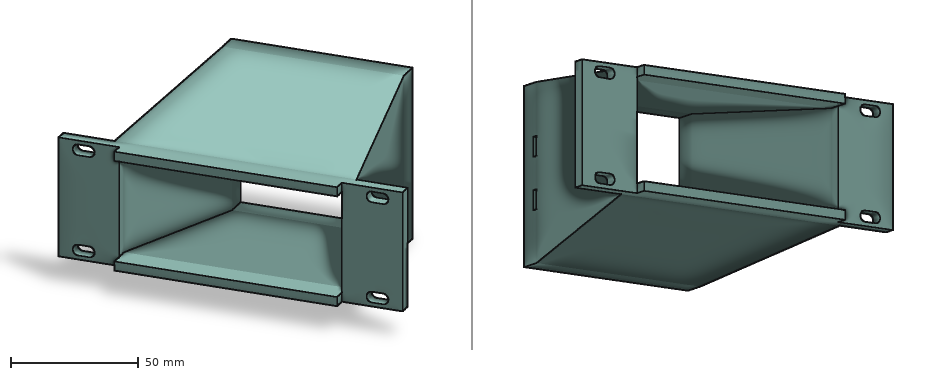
import cadquery as cq

flange_width = 146.2
flange_height = 50.7
flange_thickness = 5.1

lip_width = 94.6
lip_depth = 5.0
lip_thickness = 4.0

duct_front_width = 102.8
rear_width = 77.0
rear_height = 73.0
wall = 4.1
taper_length = 80.0
collar_length = 8.9

slot_length = 9.2
slot_height = 4.5
slot_spacing_x = 124.9
slot_spacing_z = 42.7

side_slot_width = 2.0
side_slot_height = 8.0
side_slot_spacing = 21.5
side_slot_setback = 6.7

flange_back = flange_thickness
collar_front = flange_back + taper_length
collar_back = collar_front + collar_length

mouth_height = flange_height - 2 * lip_thickness
bore_width = rear_width - 2 * wall
bore_height = rear_height - 2 * lip_thickness


def block(width, height, y_start, y_end):
    """Box centred on the Y axis between two stations."""
    length = y_end - y_start
    return cq.Workplane("XY").box(width, length, height).translate((0, y_start + length / 2, 0))


def taper(front_width, front_height, back_width, back_height):
    """Straight-sided transition from the flange to the collar."""
    return (
        cq.Workplane("XZ", origin=(0, flange_back, 0))
        .rect(front_width, front_height)
        .workplane(offset=-taper_length)
        .rect(back_width, back_height)
        .loft(ruled=True)
    )


def make_body():
    """Flange, lips, tapered duct and collar, before the passage is cut."""
    flange = block(flange_width, flange_height, 0, flange_back)
    lips = block(lip_width, flange_height, -lip_depth, 0)
    duct = taper(duct_front_width, flange_height, rear_width, rear_height)
    collar = block(rear_width, rear_height, collar_front, collar_back)
    return flange.union(lips).union(duct).union(collar)


def make_passage():
    """Open passage from the lips through to the back of the collar."""
    mouth = block(lip_width, mouth_height, -lip_depth, flange_back)
    duct = taper(lip_width, mouth_height, bore_width, bore_height)
    bore = block(bore_width, bore_height, collar_front, collar_back)
    return mouth.union(duct).union(bore)


def make_mounting_slots():
    """Four oblong holes through the flange."""
    return (
        cq.Workplane("XZ")
        .rarray(slot_spacing_x, slot_spacing_z, 2, 2)
        .slot2D(slot_length, slot_height)
        .extrude(-flange_thickness)
    )


def make_side_slots():
    """Two slots through the -X wall of the collar."""
    slot_y = collar_back - side_slot_setback - side_slot_width / 2
    wall_x = -(rear_width - wall) / 2
    return (
        cq.Workplane("YZ", origin=(wall_x, slot_y, 0))
        .rarray(1.5, side_slot_spacing, 1, 2)
        .rect(side_slot_width, side_slot_height)
        .extrude(wall / 2, both=True)
    )


result = make_body().cut(make_passage()).cut(make_mounting_slots()).cut(make_side_slots())